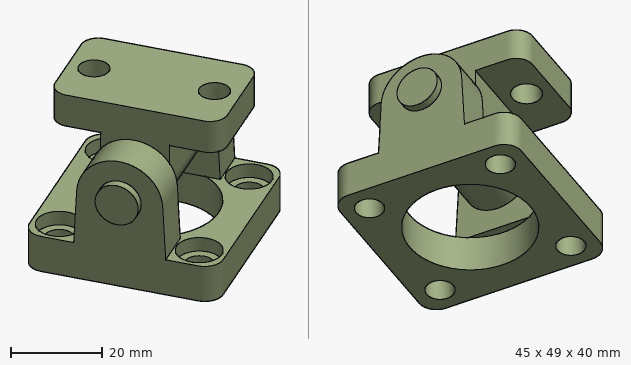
import cadquery as cq
import math

BASE_SIDE = 45.0
BASE_HEIGHT = 9.0
BASE_CORNER_RADIUS = 4.3
CENTRAL_HOLE_DIAMETER = 30.0
SCREW_SPACING = 32.5
SCREW_HOLE_DIAMETER = 6.6
COUNTERBORE_DIAMETER = 10.5
COUNTERBORE_DEPTH = 3.5

EAR_THICKNESS = 9.5
EAR_TOP_RADIUS = 10.0
EAR_DRAFT_DEGREES = 3
EAR_DRAFT = math.radians(EAR_DRAFT_DEGREES)

PIVOT_HEIGHT = 22.0
PIN_DIAMETER = 10.0
PIN_LENGTH = 49.0

PLATE_LENGTH = 40.0
PLATE_WIDTH = 25.0
PLATE_THICKNESS = 8.0
PLATE_CORNER_RADIUS = 4.0
PLATE_TOP = 40.0
PLATE_BOTTOM = PLATE_TOP - PLATE_THICKNESS
PLATE_HOLE_DIAMETER = 7.0
PLATE_HOLE_SPACING = 28.0
LUG_RADIUS = 8.0


def make_base():
    """Square base with a central opening and four counterbored screw holes."""
    base = cq.Workplane("XY").rect(BASE_SIDE, BASE_SIDE).extrude(BASE_HEIGHT)
    base = base.edges("|Z").fillet(BASE_CORNER_RADIUS)
    base = base.faces(">Z").workplane().hole(CENTRAL_HOLE_DIAMETER)
    return (
        base.faces(">Z").workplane()
        .rect(SCREW_SPACING, SCREW_SPACING, forConstruction=True)
        .vertices()
        .cboreHole(SCREW_HOLE_DIAMETER, COUNTERBORE_DIAMETER, COUNTERBORE_DEPTH)
    )


def make_ear(back_y):
    """Upright ear with drafted flanks tangent to its round top; back_y is its +Y face."""
    tangent_x = EAR_TOP_RADIUS * math.cos(EAR_DRAFT)
    tangent_z = PIVOT_HEIGHT + EAR_TOP_RADIUS * math.sin(EAR_DRAFT)
    foot_x = tangent_x + (tangent_z - BASE_HEIGHT) * math.tan(EAR_DRAFT)
    return (
        cq.Workplane("XZ", origin=(0, back_y, 0))
        .moveTo(-foot_x, BASE_HEIGHT)
        .lineTo(-tangent_x, tangent_z)
        .threePointArc((0, PIVOT_HEIGHT + EAR_TOP_RADIUS), (tangent_x, tangent_z))
        .lineTo(foot_x, BASE_HEIGHT)
        .close()
        .extrude(EAR_THICKNESS)
    )


def make_pin():
    """Pivot pin along Y, centred on the housing."""
    return (
        cq.Workplane("XZ", origin=(0, PIN_LENGTH / 2, PIVOT_HEIGHT))
        .circle(PIN_DIAMETER / 2)
        .extrude(PIN_LENGTH)
    )


def make_housing():
    """Base with two ears, bored for the pin."""
    housing = make_base()
    for back_y in (BASE_SIDE / 2, EAR_THICKNESS - BASE_SIDE / 2):
        housing = housing.union(make_ear(back_y))
    return housing.cut(make_pin())


def make_swivel():
    """Drilled plate on a round-bottomed lug, with the pivot pin as trunnions."""
    plate = (
        cq.Workplane("XY", origin=(0, 0, PLATE_BOTTOM))
        .rect(PLATE_LENGTH, PLATE_WIDTH)
        .extrude(PLATE_THICKNESS)
        .edges("|Z").fillet(PLATE_CORNER_RADIUS)
        .faces(">Z").workplane()
        .rarray(PLATE_HOLE_SPACING, 0.5, 2, 1)
        .hole(PLATE_HOLE_DIAMETER)
    )
    lug = (
        cq.Workplane("XZ", origin=(0, PLATE_WIDTH / 2, 0))
        .moveTo(-LUG_RADIUS, PLATE_BOTTOM)
        .lineTo(-LUG_RADIUS, PIVOT_HEIGHT)
        .threePointArc((0, PIVOT_HEIGHT - LUG_RADIUS), (LUG_RADIUS, PIVOT_HEIGHT))
        .lineTo(LUG_RADIUS, PLATE_BOTTOM)
        .close()
        .extrude(PLATE_WIDTH)
    )
    return plate.union(lug).union(make_pin())


housing = make_housing()
swivel = make_swivel()
result = cq.Compound.makeCompound([housing.val(), swivel.val()])